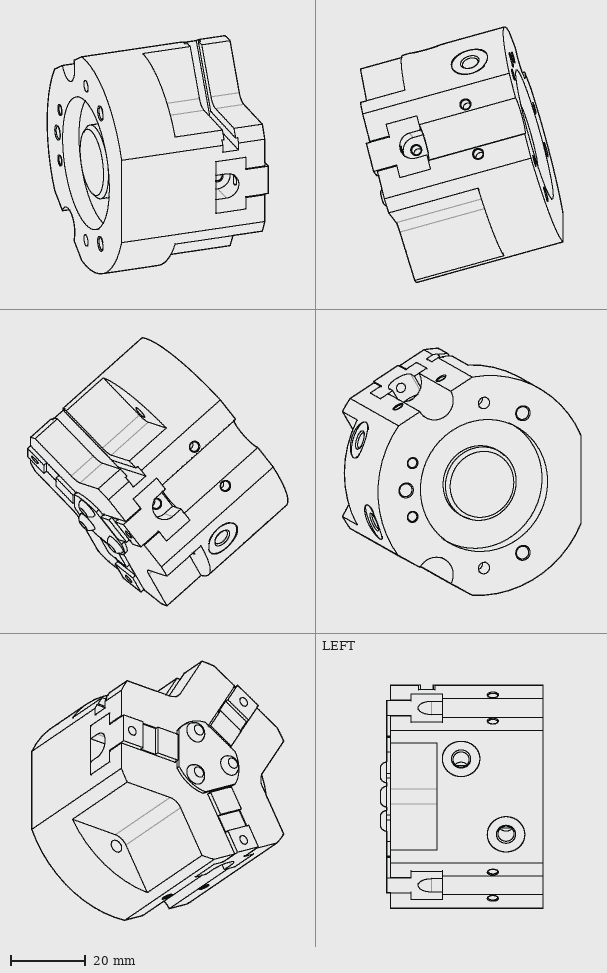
import cadquery as cq
import math


JAW_ANGLES = (0, 120, 240)
GROOVED_ARM_ANGLES = (120, 240)
NOTCH_ANGLES = (60, 180, 300)
SENSOR_NOTCH_ANGLE = 60
V_HALF_ANGLE = math.radians(60)

BODY_RADIUS = 30.0
BODY_LENGTH = 41.0
FLAT_DISTANCE = 27.5
OUTSIDE = 2 * BODY_RADIUS

ARM_HALF_WIDTH = 15.65
NOTCH_FILLET = 4.0
NOTCH_DEPTHS = {60: 24.95, 180: 12.5, 300: 24.95}

SENSOR_FLOOR = 10.0
SENSOR_LIP = 13.3
SENSOR_Y = 31.2
SENSOR_NECK_WIDTH = 3.3
SENSOR_CAVITY_WIDTH = 4.5

JAW_INNER = 9.55
JAW_BOTTOM = 26.95
JAW_SHOULDER = 35.5
JAW_TOP = 42.0
JAW_HEAD_WIDTH = 15.1
JAW_STEM_WIDTH = 8.0
GUIDE_STEM_WIDTH = 8.45
KEYWAY_CENTRE = 18.6
KEYWAY_WIDTH = 4.85
KEYWAY_DEPTH = JAW_TOP - BODY_LENGTH
POCKET_FLOOR = 20.8
POCKET_RADIUS = 3.55
POCKET_CENTRE_Y = 30.0
JAW_HOLE_RADIUS = 1.25
JAW_HOLE_DISTANCE = 24.6

GROOVE_RADIUS = 5.05

RECESS_RADIUS = 18.0
RECESS_DEPTH = 4.7
BOSS_RADIUS = 10.0
BOSS_CHAMFER = 1.0
BOSS_FRONT = 1.7

DRILL_TIP_ANGLE = 118
TAP_RADIUS = 1.25
TAP_MOUTH = 1.5
TAP_DEPTH = 4.8
FLAT_TAP_OFFSET = 7.0
FLAT_TAP_Y = 13.5
MOUNT_CIRCLE = 22.0
MOUNT_RADIUS = 1.75
MOUNT_MOUTH = 2.05
DOWEL_CIRCLE = 22.55
DOWEL_RADIUS = 1.55
DOWEL_DEPTH = 6.0

PORT_ANGLES_AND_Y = ((160, 22.0), (200, 9.95))
SPOTFACE_DISTANCE = 29.5
SPOTFACE_RADIUS = 5.05
PORT_RADIUS = 2.15
PORT_MOUTH = 2.6
PASSAGE_CIRCLE = 21.5
PORT_FLOOR = 21.1

COVER_RADIUS = 10.75
COVER_FLAT = 9.05
SCREW_CIRCLE = 7.5
SCREW_HEAD_RADIUS = 2.8
SCREW_TOP_RADIUS = 1.5
SCREW_DOME_RADIUS = 1.9
SCREW_TOP = 43.7


def turn(shape, angle):
    """Turn a shape about the Y axis, from +X toward +Z."""
    return shape.rotate((0, 0, 0), (0, -1, 0), angle)


def cross_section(y):
    """Workplane across the axis at height y: local x is X and local y is Z."""
    return cq.Workplane("XZ", origin=(0, y, 0))


def along_y(sketch, length):
    """Extrude an outline of cross_section() toward +Y."""
    return sketch.extrude(-length)


def block(x_range, y_range, z_range):
    """Rectangular block between pairs of limits."""
    sizes = [high - low for low, high in (x_range, y_range, z_range)]
    corner = (x_range[0], y_range[0], z_range[0])
    return cq.Workplane("XY").box(*sizes, centered=False).translate(corner)


def drill(start, direction, radius, depth, mouth_radius=None, pointed=True):
    """Cutter for a drilled hole, with an optional 45 degree mouth and a conical tip."""
    start = cq.Vector(*start)
    direction = cq.Vector(*direction)
    cutter = cq.Workplane(cq.Solid.makeCylinder(radius, depth, start, direction))
    if mouth_radius:
        mouth = cq.Solid.makeCone(mouth_radius, radius, mouth_radius - radius, start, direction)
        cutter = cutter.union(cq.Workplane(mouth))
    if pointed:
        tip_length = radius / math.tan(math.radians(DRILL_TIP_ANGLE / 2))
        tip = cq.Solid.makeCone(radius, 0, tip_length, start + direction * depth, direction)
        cutter = cutter.union(cq.Workplane(tip))
    return cutter


def flat_sided_disc(radius, flat_distance, y, length):
    """Disc with a flat facing each jaw direction."""
    disc = along_y(cross_section(y).circle(radius), length)
    for angle in JAW_ANGLES:
        beyond = block((flat_distance, OUTSIDE), (y, y + length), (-OUTSIDE, OUTSIDE))
        disc = disc.cut(turn(beyond, angle))
    return disc


def v_cutter(arm_half_width, y, length):
    """120 degree V opening along +X, each wall parallel to one neighbouring arm."""
    apex = arm_half_width / math.sin(V_HALF_ANGLE)
    far_x = apex + OUTSIDE * math.cos(V_HALF_ANGLE)
    far_z = OUTSIDE * math.sin(V_HALF_ANGLE)
    outline = cross_section(y).polyline([(apex, 0), (far_x, far_z), (far_x, -far_z)]).close()
    return along_y(outline, length)


def notch_cutter(depth):
    cutter = v_cutter(ARM_HALF_WIDTH, BODY_LENGTH - depth, depth)
    return cutter.edges("|Y and <X").fillet(NOTCH_FILLET)


def sensor_slot_cutter():
    """T-slot in both walls of a notch: a narrow neck over a wider cavity."""
    neck = v_cutter(SENSOR_FLOOR, SENSOR_Y - SENSOR_NECK_WIDTH / 2, SENSOR_NECK_WIDTH)
    cavity_start = SENSOR_Y - SENSOR_CAVITY_WIDTH / 2
    cavity = v_cutter(SENSOR_FLOOR, cavity_start, SENSOR_CAVITY_WIDTH)
    lips = v_cutter(SENSOR_LIP, cavity_start, SENSOR_CAVITY_WIDTH)
    return cavity.cut(lips).union(neck)


def t_bar(stem_width, outer_distance):
    """Radial bar of T section along +X, with its wide head toward the front."""
    half_head = JAW_HEAD_WIDTH / 2
    half_stem = stem_width / 2
    head = block((JAW_INNER, outer_distance), (JAW_BOTTOM, JAW_SHOULDER), (-half_head, half_head))
    stem = block((JAW_INNER, outer_distance), (JAW_SHOULDER, JAW_TOP), (-half_stem, half_stem))
    return head.union(stem)


def make_jaw():
    jaw = t_bar(JAW_STEM_WIDTH, FLAT_DISTANCE)
    keyway = block(
        (KEYWAY_CENTRE - KEYWAY_WIDTH / 2, KEYWAY_CENTRE + KEYWAY_WIDTH / 2),
        (JAW_TOP - KEYWAY_DEPTH, JAW_TOP),
        (-JAW_STEM_WIDTH / 2, JAW_STEM_WIDTH / 2),
    )
    pocket_reach = FLAT_DISTANCE - POCKET_FLOOR
    arch = cq.Solid.makeCylinder(
        POCKET_RADIUS, pocket_reach, cq.Vector(POCKET_FLOOR, POCKET_CENTRE_Y, 0), cq.Vector(1, 0, 0)
    )
    straight = block(
        (POCKET_FLOOR, FLAT_DISTANCE), (JAW_BOTTOM, POCKET_CENTRE_Y), (-POCKET_RADIUS, POCKET_RADIUS)
    )
    rear_hole = drill(
        (JAW_HOLE_DISTANCE, POCKET_CENTRE_Y, 0), (0, 1, 0),
        JAW_HOLE_RADIUS, JAW_TOP - POCKET_CENTRE_Y, pointed=False,
    )
    floor_hole = drill((POCKET_FLOOR, POCKET_CENTRE_Y, 0), (-1, 0, 0), TAP_RADIUS, TAP_DEPTH, TAP_MOUTH)
    jaw = jaw.cut(keyway).cut(cq.Workplane(arch)).cut(straight)
    return jaw.cut(rear_hole).cut(floor_hole)


def groove_cutter():
    """Lengthwise groove in a flat with a tapped hole on each side of it."""
    cutter = along_y(cross_section(0).center(FLAT_DISTANCE, 0).circle(GROOVE_RADIUS), JAW_BOTTOM)
    for offset in (-FLAT_TAP_OFFSET, FLAT_TAP_OFFSET):
        start = (FLAT_DISTANCE, FLAT_TAP_Y, offset)
        cutter = cutter.union(drill(start, (-1, 0, 0), TAP_RADIUS, TAP_DEPTH, TAP_MOUTH))
    return cutter


def recess_cutter():
    """Round front recess around a chamfered boss."""
    recess = along_y(cross_section(0).circle(RECESS_RADIUS), RECESS_DEPTH)
    boss = along_y(cross_section(BOSS_FRONT).circle(BOSS_RADIUS), RECESS_DEPTH - BOSS_FRONT)
    return recess.cut(boss.faces("<Y").chamfer(BOSS_CHAMFER))


def port_cutter(y):
    """Radial air port along +X with its spotface and its passage from the front face."""
    spotface_plane = cq.Workplane("YZ", origin=(SPOTFACE_DISTANCE, y, 0))
    spotface = spotface_plane.circle(SPOTFACE_RADIUS).extrude(BODY_RADIUS - SPOTFACE_DISTANCE)
    port_depth = SPOTFACE_DISTANCE - PORT_FLOOR
    port = drill(
        (SPOTFACE_DISTANCE, y, 0), (-1, 0, 0), PORT_RADIUS, port_depth, PORT_MOUTH, pointed=False
    )
    passage = drill((PASSAGE_CIRCLE, 0, 0), (0, 1, 0), TAP_RADIUS, y + PORT_RADIUS, TAP_MOUTH)
    return spotface.union(port).union(passage)


def screw_head():
    """Domed screw head along +X on the rear face of the cover."""
    height = SCREW_TOP - JAW_TOP
    profile = (
        cq.Workplane("XY").lineTo(SCREW_HEAD_RADIUS, 0)
        .radiusArc((SCREW_TOP_RADIUS, height), -SCREW_DOME_RADIUS).lineTo(0, height).close()
    )
    head = profile.revolve(360, (0, 0, 0), (0, 1, 0))
    return head.translate((SCREW_CIRCLE, JAW_TOP, 0))


def make_housing():
    housing = flat_sided_disc(BODY_RADIUS, FLAT_DISTANCE, 0, BODY_LENGTH)
    housing = housing.cut(recess_cutter()).cut(turn(sensor_slot_cutter(), SENSOR_NOTCH_ANGLE))
    for angle in NOTCH_ANGLES:
        mount_hole = drill(
            (MOUNT_CIRCLE, 0, 0), (0, 1, 0), MOUNT_RADIUS, BODY_LENGTH, MOUNT_MOUTH, pointed=False
        )
        housing = housing.cut(turn(notch_cutter(NOTCH_DEPTHS[angle]), angle))
        housing = housing.cut(turn(mount_hole, angle))
    for angle in JAW_ANGLES:
        housing = housing.cut(turn(t_bar(GUIDE_STEM_WIDTH, OUTSIDE), angle))
    for angle in GROOVED_ARM_ANGLES:
        housing = housing.cut(turn(groove_cutter(), angle))
    for z in (-DOWEL_CIRCLE, DOWEL_CIRCLE):
        housing = housing.cut(drill((0, 0, z), (0, 1, 0), DOWEL_RADIUS, DOWEL_DEPTH))
    for angle, y in PORT_ANGLES_AND_Y:
        housing = housing.cut(turn(port_cutter(y), angle))
    housing = housing.union(
        flat_sided_disc(COVER_RADIUS, COVER_FLAT, BODY_LENGTH, JAW_TOP - BODY_LENGTH)
    )
    for angle in NOTCH_ANGLES:
        housing = housing.union(turn(screw_head(), angle))
    return housing


housing = make_housing()
jaws = [turn(make_jaw(), angle) for angle in JAW_ANGLES]

result = cq.Compound.makeCompound([housing.val(), *[jaw.val() for jaw in jaws]])